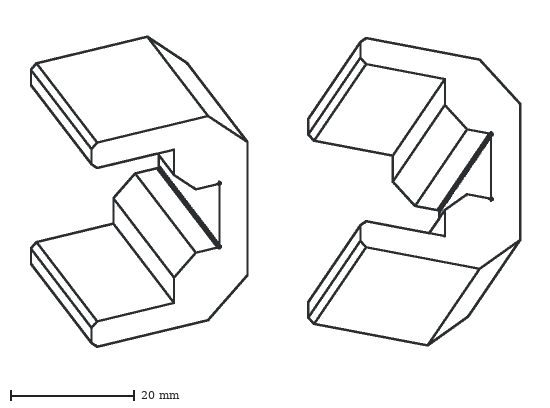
import cadquery as cq

length = 25.0
depth = 27.55
height = 40.0

wall = 5.0
back_chamfer = 7.0
tip_chamfer = 1.0

shoulder_depth = 13.0
shoulder_chamfer = 3.85
slot_height = 12.4

relief_reach = 0.3

y_front = -depth / 2
y_back = depth / 2
y_web = y_back - wall
y_shoulder = y_back - shoulder_depth
z_top = height / 2
z_arm = z_top - wall
z_slot = slot_height / 2

upper_half = [
    (y_back, z_top - back_chamfer),
    (y_back - back_chamfer, z_top),
    (y_front + tip_chamfer, z_top),
    (y_front, z_top - tip_chamfer),
    (y_front, z_arm + tip_chamfer),
    (y_front + tip_chamfer, z_arm),
    (y_shoulder, z_arm),
    (y_shoulder, z_slot + shoulder_chamfer),
    (y_shoulder + shoulder_chamfer, z_slot),
    (y_web - relief_reach, z_slot),
    (y_web, z_slot + relief_reach),
    (y_web + relief_reach, z_slot),
    (y_web, z_slot - relief_reach),
]

lower_half = [(y, -z) for y, z in reversed(upper_half)]

result = (
    cq.Workplane("YZ")
    .polyline(upper_half + lower_half)
    .close()
    .extrude(length / 2, both=True)
)